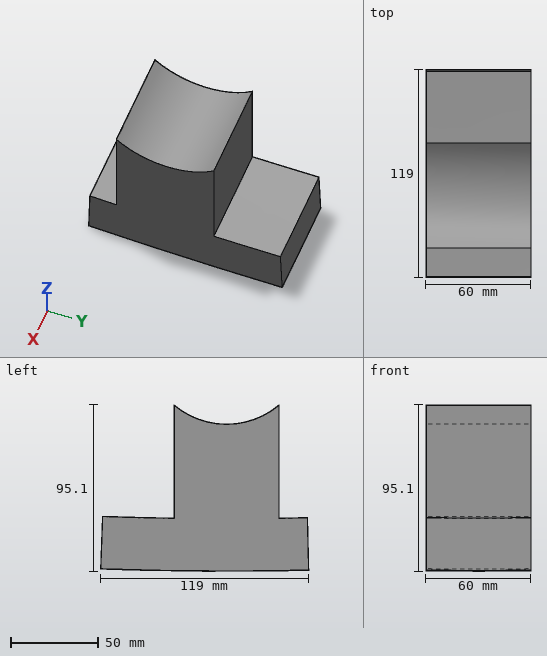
import cadquery as cq

width = 60.0
height = 95.1

outer_radius = 1999.2
base_thickness = 30.0
rear_reach = 72.0
front_reach = 47.0

pedestal_depth = 60.0
saddle_sag = 11.0

inner_radius = outer_radius - base_thickness
half_chord = pedestal_depth / 2
saddle_radius = (half_chord**2 + saddle_sag**2) / (2 * saddle_sag)


def ball(radius):
    """Sphere about the shell's center, its poles lying along X away from the part."""
    return cq.Workplane("XY", origin=(0, 0, outer_radius)).sphere(radius, direct=(1, 0, 0))


def underside_height(reach):
    """Height of the spherical underside at a distance from the axis."""
    return outer_radius - (outer_radius**2 - reach**2) ** 0.5


def radial_y(reach, z):
    """Y at height z on the line from the sphere's center to the base's bottom edge."""
    return reach * (outer_radius - z) / (outer_radius - underside_height(abs(reach)))


def make_base():
    """Wedge with radial ends, trimmed to the shell between the two spheres."""
    wedge_bottom = -base_thickness
    wedge_top = 2 * base_thickness
    wedge = (
        cq.Workplane("YZ")
        .polyline([
            (radial_y(-front_reach, wedge_bottom), wedge_bottom),
            (radial_y(rear_reach, wedge_bottom), wedge_bottom),
            (radial_y(rear_reach, wedge_top), wedge_top),
            (radial_y(-front_reach, wedge_top), wedge_top),
        ])
        .close()
        .extrude(width / 2, both=True)
    )
    return wedge.intersect(ball(outer_radius)).cut(ball(inner_radius))


def make_pedestal():
    """Upright block standing inside the base, hollowed by the saddle on top."""
    bottom = base_thickness / 2
    block = cq.Workplane("XY", origin=(0, 0, bottom)).box(
        width, pedestal_depth, height - bottom, centered=(True, True, False)
    )
    saddle_center = height - saddle_sag + saddle_radius
    saddle = (
        cq.Workplane("YZ")
        .center(0, saddle_center)
        .circle(saddle_radius)
        .extrude(width, both=True)
    )
    return block.cut(saddle)


result = make_base().union(make_pedestal())